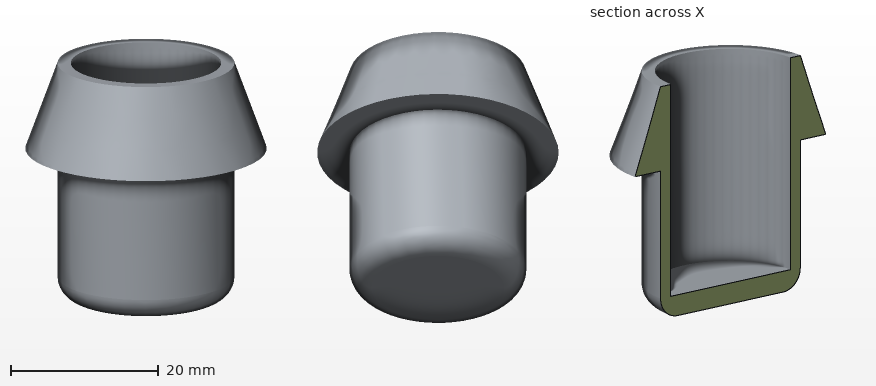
import cadquery as cq

total_height = 33.0
collar_diameter = 32.75
collar_height = 12.0

stem_diameter = 24.0
bottom_round = 3.0

bore_diameter = 20.4
floor_thickness = bottom_round

stem_radius = stem_diameter / 2
collar_base_z = total_height - collar_height


def make_stem():
    """Round stem with a rounded bottom edge, reaching the top of the part."""
    stem = cq.Workplane("XY").circle(stem_radius).extrude(total_height)
    return stem.faces("<Z").edges().fillet(bottom_round)


def make_collar():
    """Collar tapering from its wide base up to the stem diameter."""
    profile = (
        cq.Workplane("XZ")
        .moveTo(0, collar_base_z)
        .lineTo(collar_diameter / 2, collar_base_z)
        .lineTo(stem_radius, total_height)
        .lineTo(0, total_height)
        .close()
    )
    return profile.revolve(360, (0, 0, 0), (0, 1, 0))


def make_bore():
    """Flat-bottomed bore, open at the top."""
    return (
        cq.Workplane("XY")
        .workplane(offset=floor_thickness)
        .circle(bore_diameter / 2)
        .extrude(total_height - floor_thickness)
    )


result = make_stem().union(make_collar()).cut(make_bore())